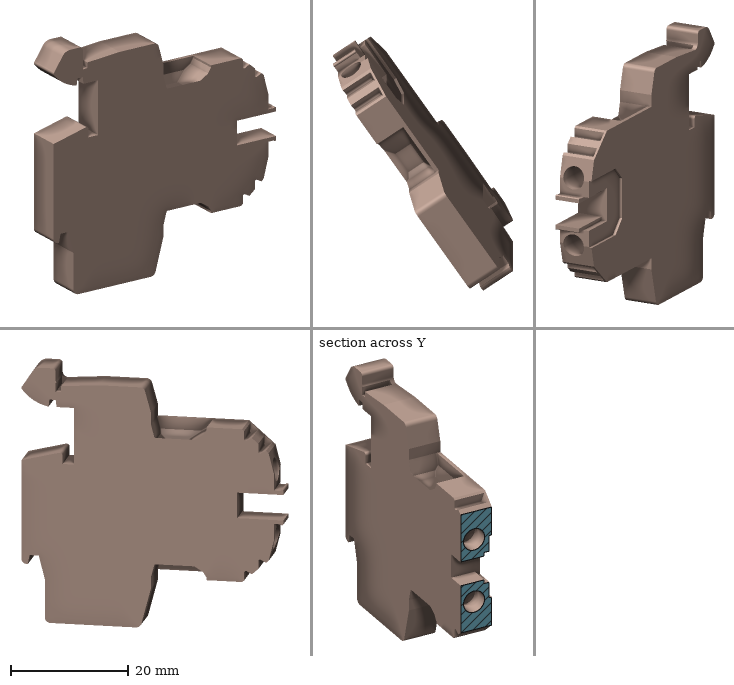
import cadquery as cq
import math

thickness = 6.1
depth = 45.5
height = 45.0

mid_z = height / 2
front_y = 43.9
front_half = 5.8
shoulder_y = 42.95
shoulder_half = 9.5
bevel_y = 38.35
flank_half = 13.5
step_y = 22.5

top_z = 42.45
top_corner_y = 21.3
top_bend_z = 38.1
top_slope_y = 13.5
latch_root_z = 41.85
foot_corner_y = 20.65
foot_bend_z = 7.0
foot_back_y = 4.05
foot_top_z = 7.75

hook_y = 5.95
hook_arc_start_y = 3.4
hook_arc_end = (1.72, 44.0)
hook_tip_over = (0.15, 41.6)
hook_tip_z = 41.25
hook_tip_under = (0.2, 40.9)
hook_belly_mid = (2.25, 39.12)
hook_point = (4.7, 38.2)
hook_notch_y = 4.85
hook_notch_z = 39.45
hook_notch_foot_y = 6.1

rail_y = 9.1
rail_top_z = 38.2
rail_bottom_z = 28.2
lip_y = 7.15
lip_z = 30.3
lip_end_z = 28.5
claw_z = 10.2
claw_inner_y = 1.1
claw_notch_z = 11.8
claw_notch_y = (1.4, 3.0)

foot_radius = 1.0
top_radius = 0.9
hook_root_radius = 1.0
hook_top_radius = 0.6
lip_radius = 0.5
claw_radius = 0.9

recess_depth = 0.5
recess_half = 5.95
recess_y = 32.9
recess_chamfer = 2.4

slot_y = 37.5
slot_half = 2.95
blade_x = 1.5
blade_thickness = 0.7
bead_width = 0.5
bead_height = 0.15

hole_x = 3.475
hole_offset = 6.0
hole_radius = 2.0

funnel_x = 0.68
funnel_floor_half = 1.575
funnel_back_y = 32.2
funnel_lip_drop = 0.4
funnel_ramp_y = 31.6
funnel_ramp_drop = 1.35
funnel_floor_y = (24.2, 28.15)
funnel_depth = 3.55
funnel_front_y = 23.25
funnel_front_drop = 2.85
funnel_side_slope = 1.16
funnel_corner_radius = 0.2

groove_ends_y = ((41.15, 42.5), (38.7, 40.05))
groove_x = 0.38
groove_face_angle = 28
groove_end_angle = 25
groove_bottom_radius = 0.3
groove_end_reach = 6.0

latch_pocket_x = 0.8
latch_pocket_y = (hook_y, 6.9)
latch_pocket_depth = 1.0


def yz_prism(points, x_start, x_end):
    """Extrude a closed YZ polygon along X."""
    sketch = cq.Workplane("YZ", origin=(x_start, 0, 0)).polyline(points).close()
    return sketch.extrude(x_end - x_start)


def mirrored(shape):
    """Return the shape reflected about the mid height of the front block."""
    return shape.mirror("XY", (0, 0, mid_z))


def round_edge(body, y, z, radius):
    """Fillet the X-parallel edge nearest to (y, z)."""
    nearest = cq.selectors.NearestToPointSelector((thickness / 2, y, z))
    return body.edges("|X").edges(nearest).fillet(radius)


def make_housing():
    outline = (
        cq.Workplane("YZ")
        .moveTo(foot_back_y, 0)
        .lineTo(foot_corner_y, 0)
        .lineTo(step_y, foot_bend_z)
        .lineTo(step_y, mid_z - flank_half)
        .lineTo(bevel_y, mid_z - flank_half)
        .lineTo(shoulder_y, mid_z - shoulder_half)
        .lineTo(front_y, mid_z - front_half)
        .lineTo(front_y, mid_z + front_half)
        .lineTo(shoulder_y, mid_z + shoulder_half)
        .lineTo(bevel_y, mid_z + flank_half)
        .lineTo(step_y, mid_z + flank_half)
        .lineTo(step_y, top_bend_z)
        .lineTo(top_corner_y, top_z)
        .lineTo(top_slope_y, top_z)
        .lineTo(hook_y, latch_root_z)
        .lineTo(hook_y, height)
        .lineTo(hook_arc_start_y, height)
        .tangentArcPoint(hook_arc_end, relative=False)
        .lineTo(*hook_tip_over)
        .threePointArc((0, hook_tip_z), hook_tip_under)
        .threePointArc(hook_belly_mid, hook_point)
        .lineTo(hook_notch_y, hook_notch_z)
        .lineTo(hook_y, hook_notch_z)
        .lineTo(hook_notch_foot_y, rail_top_z)
        .lineTo(rail_y, rail_top_z)
        .lineTo(rail_y, rail_bottom_z)
        .lineTo(lip_y, rail_bottom_z)
        .lineTo(lip_y, lip_z)
        .lineTo(0, lip_end_z)
        .lineTo(0, claw_z)
        .lineTo(claw_inner_y, claw_z)
        .lineTo(claw_notch_y[0], claw_notch_z)
        .lineTo(claw_notch_y[1], claw_notch_z)
        .lineTo(foot_back_y, foot_top_z)
        .close()
    )
    body = outline.extrude(thickness)
    rounded_corners = (
        (foot_back_y, 0, foot_radius),
        (foot_corner_y, 0, foot_radius),
        (top_corner_y, top_z, top_radius),
        (hook_y, latch_root_z, hook_root_radius),
        (hook_y, height, hook_top_radius),
        (lip_y, lip_z, lip_radius),
        (0, claw_z, claw_radius),
    )
    for y, z, radius in rounded_corners:
        body = round_edge(body, y, z, radius)
    return body


def make_recess():
    lower = mid_z - recess_half
    upper = mid_z + recess_half
    points = [
        (depth, lower),
        (recess_y + recess_chamfer, lower),
        (recess_y, lower + recess_chamfer),
        (recess_y, upper - recess_chamfer),
        (recess_y + recess_chamfer, upper),
        (depth, upper),
    ]
    return yz_prism(points, 0, recess_depth)


def make_slot():
    points = [
        (slot_y, mid_z - slot_half),
        (depth, mid_z - slot_half),
        (depth, mid_z + slot_half),
        (slot_y, mid_z + slot_half),
    ]
    return yz_prism(points, 0, thickness)


def make_blade():
    outer_z = mid_z + slot_half
    inner_z = outer_z - blade_thickness
    bead_crest = (depth - bead_width / 2, outer_z + bead_height)
    outline = (
        cq.Workplane("YZ", origin=(blade_x, 0, 0))
        .moveTo(slot_y, inner_z)
        .lineTo(depth, inner_z)
        .lineTo(depth, outer_z)
        .threePointArc(bead_crest, (depth - bead_width, outer_z))
        .lineTo(slot_y, outer_z)
        .close()
    )
    return outline.extrude(thickness - blade_x)


def make_screw_hole():
    circle = cq.Workplane("XZ", origin=(hole_x, front_y, mid_z + hole_offset)).circle(hole_radius)
    return circle.extrude(front_y - slot_y)


def make_funnel():
    flank_z = mid_z + flank_half
    floor_z = flank_z - funnel_depth
    lengthwise = yz_prism(
        [
            (step_y, flank_z),
            (funnel_front_y, flank_z - funnel_front_drop),
            (funnel_floor_y[0], floor_z),
            (funnel_floor_y[1], floor_z),
            (funnel_ramp_y, flank_z - funnel_ramp_drop),
            (funnel_back_y, flank_z - funnel_lip_drop),
            (funnel_back_y, flank_z),
        ],
        0,
        2 * hole_x,
    )
    wall_half = hole_x - funnel_x
    wall_z = floor_z + (wall_half - funnel_floor_half) * funnel_side_slope
    crosswise = (
        cq.Workplane("XZ", origin=(hole_x, depth, 0))
        .polyline(
            [
                (-wall_half, flank_z),
                (-wall_half, wall_z),
                (-funnel_floor_half, floor_z),
                (funnel_floor_half, floor_z),
                (wall_half, wall_z),
                (wall_half, flank_z),
            ]
        )
        .close()
        .extrude(depth)
    )
    funnel = lengthwise.intersect(crosswise)
    return funnel.edges("not(|X or |Y or |Z)").fillet(funnel_corner_radius)


def bevel_z(y):
    """Height of the upper front bevel at y."""
    slope = (flank_half - shoulder_half) / (shoulder_y - bevel_y)
    return mid_z + flank_half - slope * (y - bevel_y)


def make_groove(y_inner, y_outer):
    bottom_z = bevel_z(y_outer) - (y_outer - y_inner) * math.tan(math.radians(groove_face_angle))
    points = [
        (y_inner, bevel_z(y_inner)),
        (y_outer, bevel_z(y_outer)),
        (y_inner, bottom_z),
    ]
    groove = yz_prism(points, groove_x, thickness)
    groove = round_edge(groove, y_inner, bottom_z, groove_bottom_radius)

    along_bevel = cq.Vector(0, shoulder_y - bevel_y, shoulder_half - flank_half)
    start = (groove_x, bevel_y, bevel_z(bevel_y))
    lean = groove_end_reach * math.tan(math.radians(groove_end_angle))
    keep = (
        cq.Workplane(cq.Plane(start, (1, 0, 0), along_bevel))
        .polyline([(0, 0), (thickness, 0), (thickness, groove_end_reach), (lean, groove_end_reach)])
        .close()
        .extrude(along_bevel.Length)
    )
    return groove.intersect(keep)


def make_latch_pocket():
    slope = (top_z - latch_root_z) / (top_slope_y - hook_y)
    y_near, y_far = latch_pocket_y
    near_z = latch_root_z + slope * (y_near - hook_y) - latch_pocket_depth
    far_z = latch_root_z + slope * (y_far - hook_y) - latch_pocket_depth
    points = [(y_near, near_z), (y_far, far_z), (y_far, top_z), (y_near, top_z)]
    return yz_prism(points, latch_pocket_x, thickness)


result = make_housing().cut(make_recess()).cut(make_slot()).cut(make_latch_pocket())

front_cuts = [make_screw_hole(), make_funnel()]
for y_inner, y_outer in groove_ends_y:
    front_cuts.append(make_groove(y_inner, y_outer))
for cutter in front_cuts:
    result = result.cut(cutter).cut(mirrored(cutter))

blade = make_blade()
result = result.union(blade).union(mirrored(blade))